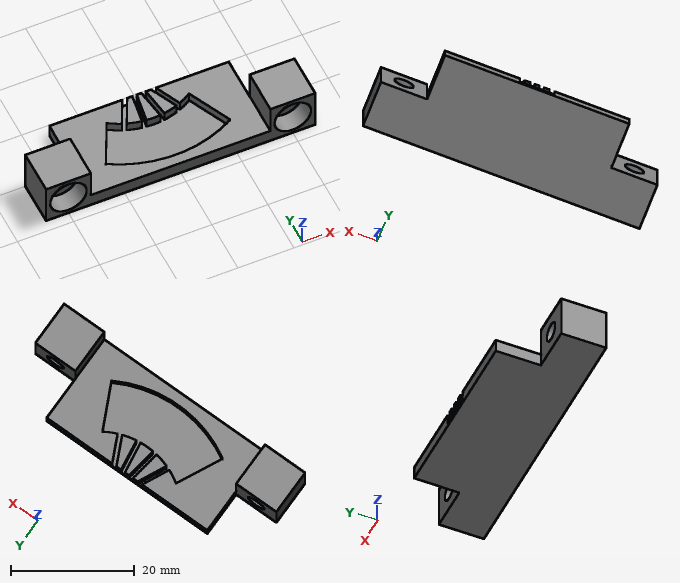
import cadquery as cq
import math

length = 48.0
depth = length / 3
lug_size = length / 6
plate_length = length - 2 * lug_size
plate_thickness = 2.5

hole_diameter = 3.25
counterbore_diameter = 6.5
counterbore_depth = 3.5

pocket_depth = 1.7
pocket_floor = plate_thickness - pocket_depth
arc_centre_y = depth + 7.85
inner_radius = 13.45
outer_radius = 22.0
inner_half_width = 7.35
outer_half_width = 11.1

slot_count = 4
slot_pitch_angle = 17.0
slot_width = 0.75
slot_apex_y = depth + 5.4
slot_length = 11.5


def arc_point(radius, x):
    """Point at the given x on the front half of an arc about the shared centre."""
    return (x, arc_centre_y - math.sqrt(radius**2 - x**2))


def slot_angle(index):
    """Angle of a slot from the -Y direction, positive toward +X."""
    return (index - (slot_count - 1) / 2) * slot_pitch_angle


def slot_edge_x(index, side, y):
    """X of one edge of a slot at the given y; side is -1 for left, +1 for right."""
    angle = math.radians(slot_angle(index))
    return (slot_apex_y - y) * math.tan(angle) + side * slot_width / 2 / math.cos(angle)


def make_pocket():
    return (
        cq.Workplane("XY", origin=(0, 0, pocket_floor))
        .moveTo(*arc_point(inner_radius, -inner_half_width))
        .threePointArc(arc_point(inner_radius, 0), arc_point(inner_radius, inner_half_width))
        .lineTo(*arc_point(outer_radius, outer_half_width))
        .threePointArc(arc_point(outer_radius, 0), arc_point(outer_radius, -outer_half_width))
        .close()
        .extrude(pocket_depth)
    )


def make_wedge_strip(left_slot, left_side, right_slot, right_side):
    """Tapered strip between two slot edges, from the back edge to the inner arc."""
    front_y = slot_apex_y - slot_length
    strip = (
        cq.Workplane("XY", origin=(0, 0, pocket_floor))
        .polyline([
            (slot_edge_x(left_slot, left_side, depth), depth),
            (slot_edge_x(left_slot, left_side, front_y), front_y),
            (slot_edge_x(right_slot, right_side, front_y), front_y),
            (slot_edge_x(right_slot, right_side, depth), depth),
        ])
        .close()
        .extrude(pocket_depth)
    )
    arc_disc = (
        cq.Workplane("XY", origin=(0, arc_centre_y, pocket_floor))
        .circle(inner_radius)
        .extrude(pocket_depth)
    )
    return strip.intersect(arc_disc)


def make_lug(side):
    """Square lug at one end, with its counterbore opening on the front face."""
    centre_x = side * (length - lug_size) / 2
    return (
        cq.Workplane("XY", origin=(centre_x, lug_size / 2, lug_size / 2))
        .box(lug_size, lug_size, lug_size)
        .faces("<Y")
        .workplane(centerOption="CenterOfBoundBox")
        .cboreHole(hole_diameter, counterbore_diameter, counterbore_depth)
    )


def make_base():
    """Plate with two lugs, recessed for the wedges, the slots and the pocket."""
    base = cq.Workplane("XY").box(plate_length, depth, plate_thickness, centered=(True, False, False))
    for side in (-1, 1):
        base = base.union(make_lug(side))
    slotted_area = make_wedge_strip(0, -1, slot_count - 1, 1)
    return base.cut(make_pocket()).cut(slotted_area)


def make_wedge(index):
    """Loose wedge that stands on the pocket floor between two neighbouring slots."""
    return make_wedge_strip(index, 1, index + 1, -1)


base = make_base()
wedges = [make_wedge(index) for index in range(slot_count - 1)]

result = cq.Compound.makeCompound([base.val(), *[wedge.val() for wedge in wedges]])